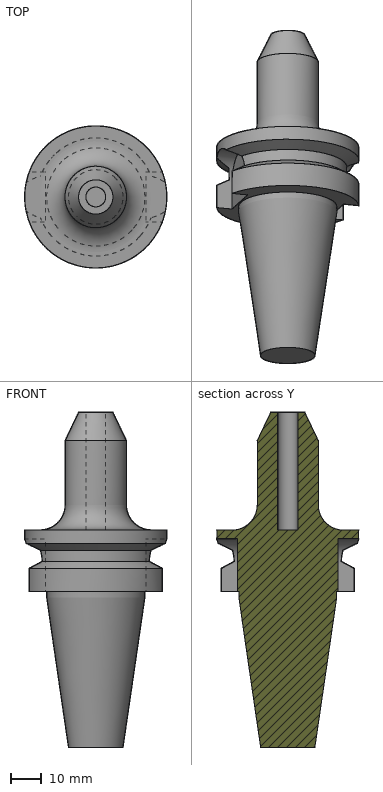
import cadquery as cq
import math


GAUGE_DIAMETER = 31.75
TAPER_LENGTH = 48.4
TAPER_RATIO = 7 / 24
COLLAR_HEIGHT = 2.0

FLANGE_DIAMETER = 46.0
FLANGE_TOP = 22.0
GROOVE_CENTER = 13.6
GROOVE_WIDTH = 8.1
GROOVE_FLOOR_DIAMETER = 38.2
GROOVE_WALL_ANGLE = 30.0

SLOT_WIDTH = 16.1
SLOT_TOP = 19.1
SLOT_FLOOR_OFFSET = 16.3

NOSE_TOP = 60.0
NOSE_DIAMETER = 19.9
NOSE_FILLET_RADIUS = 8.0
TIP_DIAMETER = 11.1
TIP_CONE_HEIGHT = 9.2

BORE_DIAMETER = 6.4
BORE_DEPTH = NOSE_TOP - FLANGE_TOP


def make_body():
    """Revolve the half profile of the shank, flange and nose about Z."""
    gauge_radius = GAUGE_DIAMETER / 2
    shank_end_radius = (GAUGE_DIAMETER - TAPER_LENGTH * TAPER_RATIO) / 2
    flange_radius = FLANGE_DIAMETER / 2
    groove_floor_radius = GROOVE_FLOOR_DIAMETER / 2
    wall_rise = (flange_radius - groove_floor_radius) * math.tan(math.radians(GROOVE_WALL_ANGLE))
    groove_bottom = GROOVE_CENTER - GROOVE_WIDTH / 2
    groove_top = GROOVE_CENTER + GROOVE_WIDTH / 2
    nose_radius = NOSE_DIAMETER / 2
    fillet_center_radius = nose_radius + NOSE_FILLET_RADIUS
    fillet_top = FLANGE_TOP + NOSE_FILLET_RADIUS
    fillet_diagonal = NOSE_FILLET_RADIUS * math.sqrt(0.5)
    fillet_middle = (fillet_center_radius - fillet_diagonal, fillet_top - fillet_diagonal)

    profile = (
        cq.Workplane("XZ")
        .moveTo(0, -TAPER_LENGTH)
        .lineTo(shank_end_radius, -TAPER_LENGTH)
        .lineTo(gauge_radius, 0)
        .lineTo(gauge_radius, COLLAR_HEIGHT)
        .lineTo(flange_radius, COLLAR_HEIGHT)
        .lineTo(flange_radius, groove_bottom)
        .lineTo(groove_floor_radius, groove_bottom + wall_rise)
        .lineTo(groove_floor_radius, groove_top - wall_rise)
        .lineTo(flange_radius, groove_top)
        .lineTo(flange_radius, FLANGE_TOP)
        .lineTo(fillet_center_radius, FLANGE_TOP)
        .threePointArc(fillet_middle, (nose_radius, fillet_top))
        .lineTo(nose_radius, NOSE_TOP - TIP_CONE_HEIGHT)
        .lineTo(TIP_DIAMETER / 2, NOSE_TOP)
        .lineTo(0, NOSE_TOP)
        .close()
    )
    return profile.revolve(360, (0, 0, 0), (0, 1, 0))


def make_slot_cutter(side):
    """Round-topped slot volume outside the slot floor; side is -1 for -X and +1 for +X."""
    half_width = SLOT_WIDTH / 2
    arc_center = SLOT_TOP - half_width
    return (
        cq.Workplane("YZ", origin=(side * SLOT_FLOOR_OFFSET, 0, 0))
        .moveTo(-half_width, 0)
        .lineTo(half_width, 0)
        .lineTo(half_width, arc_center)
        .threePointArc((0, SLOT_TOP), (-half_width, arc_center))
        .close()
        .extrude(side * FLANGE_DIAMETER / 2)
    )


def make_bore():
    """Blind bore volume opening at the nose tip."""
    return (
        cq.Workplane("XY", origin=(0, 0, NOSE_TOP))
        .circle(BORE_DIAMETER / 2)
        .extrude(-BORE_DEPTH)
    )


result = make_body().cut(make_bore())
for slot_side in (-1, 1):
    result = result.cut(make_slot_cutter(slot_side))